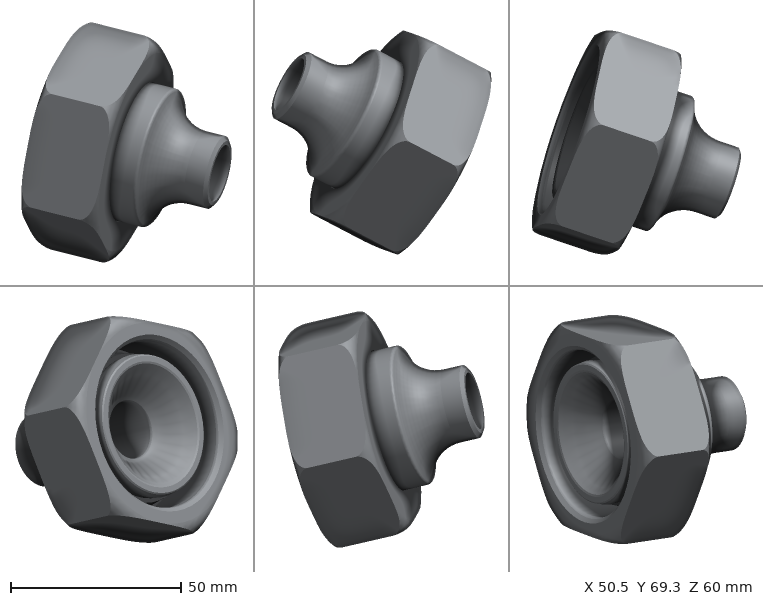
import cadquery as cq
import math


blend_radius = 1.0

across_corners = 69.3
nut_length = 24.05
nut_mouth_radius = 26.3
nut_bore_radius = 49.8 / 2
nut_exit_radius = 42.3 / 2

total_length = 50.5
nipple_length = 48.0
collar_radius = 47.8 / 2
shank_radius = 41.9 / 2
neck_radius = 22.0 / 2
bore_radius = 17.05 / 2
cone_start_radius = 20.8
cone_half_angle = math.radians(12)
funnel_mouth_radius = 18.4
shank_end = 31.95
neck_start = 43.65
weld_bevel_length = 1.0
weld_bevel_depth = 1.3
tip_chamfer = 0.35

groove_start_radius = 21.4
groove_end_radius = 22.25
ring_outer_radius = 21.2


def cone_x(radius):
    """X at which the nipple's outer cone reaches a radius."""
    return tip_x + (radius - cone_start_radius) / math.tan(cone_half_angle)


tip_x = total_length - nipple_length
across_flats = across_corners * math.cos(math.pi / 6)
corner_rounding = (across_corners - across_flats) / 2
shoulder_x = cone_x(collar_radius)
groove_start = cone_x(groove_start_radius)
groove_end = cone_x(groove_end_radius)
ring_thickness = groove_end - groove_start
groove_floor_radius = ring_outer_radius - ring_thickness


def revolve_about_x(profile):
    """Turn a closed (x, radius) outline about the X axis."""
    return profile.close().revolve(360, (0, 0, 0), (1, 0, 0))


def rim(x, radius):
    """Selector for the circular edge at a given X and radius."""
    margin = 0.1
    reach = radius + margin
    return cq.selectors.BoxSelector(
        (x - margin, -reach, -reach),
        (x + margin, reach, reach),
        boundingbox=True,
    )


def make_nut():
    hexagon = (
        cq.Workplane("YZ")
        .polygon(6, across_corners)
        .extrude(nut_length)
    )
    rounded_envelope = (
        cq.Workplane("YZ")
        .circle(across_corners / 2)
        .extrude(nut_length)
        .edges()
        .fillet(corner_rounding)
    )
    mouth_depth = nut_mouth_radius - nut_bore_radius
    seat_end = shoulder_x + collar_radius - nut_exit_radius
    cavity = revolve_about_x(
        cq.Workplane("XY")
        .moveTo(0, 0)
        .lineTo(0, nut_mouth_radius)
        .lineTo(mouth_depth, nut_bore_radius)
        .lineTo(shoulder_x, nut_bore_radius)
        .lineTo(shoulder_x, collar_radius)
        .lineTo(seat_end, nut_exit_radius)
        .lineTo(nut_length, nut_exit_radius)
        .lineTo(nut_length, 0)
    )
    cavity = cavity.edges(rim(mouth_depth, nut_bore_radius)).fillet(blend_radius)
    return hexagon.intersect(rounded_envelope).cut(cavity)


def make_nipple():
    flare_length = neck_start - shank_end
    flare_rise = shank_radius - neck_radius
    flare_radius = (flare_length**2 + flare_rise**2) / (2 * flare_rise)
    flare_angle = math.asin(flare_length / flare_radius) / 2
    flare_mid = (
        neck_start - flare_radius * math.sin(flare_angle),
        neck_radius + flare_radius * (1 - math.cos(flare_angle)),
    )
    seat_end = shoulder_x + collar_radius - shank_radius
    funnel_end = tip_x + funnel_mouth_radius - bore_radius
    body = revolve_about_x(
        cq.Workplane("XY")
        .moveTo(tip_x, funnel_mouth_radius)
        .lineTo(tip_x, cone_start_radius)
        .lineTo(groove_start, groove_start_radius)
        .lineTo(groove_start, groove_floor_radius)
        .lineTo(groove_end, groove_floor_radius)
        .lineTo(groove_end, groove_end_radius)
        .lineTo(shoulder_x, collar_radius)
        .lineTo(seat_end, shank_radius)
        .lineTo(shank_end, shank_radius)
        .threePointArc(flare_mid, (neck_start, neck_radius))
        .lineTo(total_length - weld_bevel_length, neck_radius)
        .lineTo(total_length, neck_radius - weld_bevel_depth)
        .lineTo(total_length, bore_radius)
        .lineTo(funnel_end, bore_radius)
    )
    body = body.edges(rim(tip_x, cone_start_radius)).chamfer(tip_chamfer)
    body = body.edges(rim(funnel_end, bore_radius)).fillet(blend_radius)
    return body.edges(rim(shank_end, shank_radius)).fillet(blend_radius)


def make_ring():
    section_radius = ring_thickness / 2
    return cq.Solid.makeTorus(
        ring_outer_radius - section_radius,
        section_radius,
        cq.Vector((groove_start + groove_end) / 2, 0, 0),
        cq.Vector(1, 0, 0),
    )


nut = make_nut()
nipple = make_nipple()
ring = make_ring()

result = cq.Compound.makeCompound([nut.val(), nipple.val(), ring])